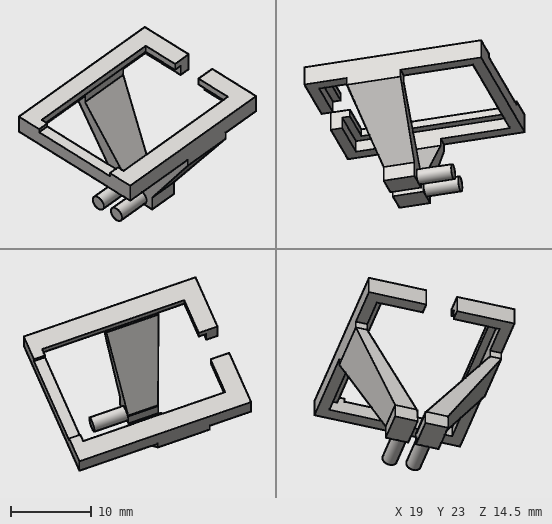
import cadquery as cq

frame_width = 19.0
frame_length = 23
frame_height = 2.5
wall = 1.5
rim_width = 2.5
rim_thickness = 1.0
back_gap = 4.0
notch_width = 12.05
notch_depth = 0.5

total_height = 14.47
pad_height = 1.0
leg_front_y = -1.01
pad_length = 7.0
foot_length = 4.0
foot_width = 2.95
foot_gap = 1.01
pin_diameter = 1.9
pin_length = 4.48
arm_tip_inset = 0.1
neck_height = 0.07

half_width = frame_width / 2
back_y = frame_length / 2
front_y = -back_y
pad_bottom = -frame_height - pad_height
foot_top = -total_height + pin_diameter
arm_bottom = foot_top + neck_height
foot_inner_x = foot_gap / 2
tip_inner_x = foot_inner_x + arm_tip_inset
foot_outer_x = foot_inner_x + foot_width


def block(x_range, y_range, z_range):
    """Box between pairs of limits along each axis."""
    (x0, x1), (y0, y1), (z0, z1) = x_range, y_range, z_range
    return cq.Workplane("XY").box(x1 - x0, y1 - y0, z1 - z0, centered=False).translate((x0, y0, z0))


def make_frame():
    """Frame with a rim overhanging its inside, a back gap and a shallow front notch."""
    inner_front = front_y + wall
    rim_x = half_width - rim_width
    lower_x = half_width - wall
    body = block((-half_width, half_width), (front_y, back_y), (-frame_height, 0))
    upper_opening = block((-rim_x, rim_x), (inner_front, back_y - rim_width), (-frame_height, 0))
    lower_opening = block((-lower_x, lower_x), (inner_front, back_y - wall), (-frame_height, -rim_thickness))
    gap = block((-back_gap / 2, back_gap / 2), (back_y - rim_width, back_y), (-frame_height, 0))
    notch = block((-notch_width / 2, notch_width / 2), (front_y, inner_front), (-notch_depth, 0))
    return body.cut(upper_opening).cut(lower_opening).cut(gap).cut(notch)


def make_arm():
    """Arm sloping inward, tapering in length towards the foot."""
    pad_middle = (half_width - wall / 2, leg_front_y + pad_length / 2)
    tip_width = foot_outer_x - tip_inner_x
    tip_middle = ((foot_outer_x + tip_inner_x) / 2, leg_front_y + foot_length / 2)
    return (
        cq.Workplane("XY", origin=(*pad_middle, pad_bottom))
        .rect(wall, pad_length)
        .workplane(offset=arm_bottom - pad_bottom)
        .center(tip_middle[0] - pad_middle[0], tip_middle[1] - pad_middle[1])
        .rect(tip_width, foot_length)
        .loft(ruled=True)
    )


def make_leg():
    """Leg on the +X side: pad, arm, neck, foot and forward-pointing pin."""
    foot_y = (leg_front_y, leg_front_y + foot_length)
    pad = block(
        (half_width - wall, half_width),
        (leg_front_y, leg_front_y + pad_length),
        (pad_bottom, -frame_height),
    )
    neck = block((tip_inner_x, foot_outer_x), foot_y, (foot_top, arm_bottom))
    foot = block((foot_inner_x, foot_outer_x), foot_y, (-total_height, foot_top))
    pin_radius = pin_diameter / 2
    pin = (
        cq.Workplane("XZ", origin=(tip_inner_x + pin_radius, leg_front_y, foot_top - pin_radius))
        .circle(pin_radius)
        .extrude(pin_length)
    )
    return pad.union(make_arm()).union(neck).union(foot).union(pin)


leg = make_leg()
result = make_frame().union(leg).union(leg.mirror("YZ"))